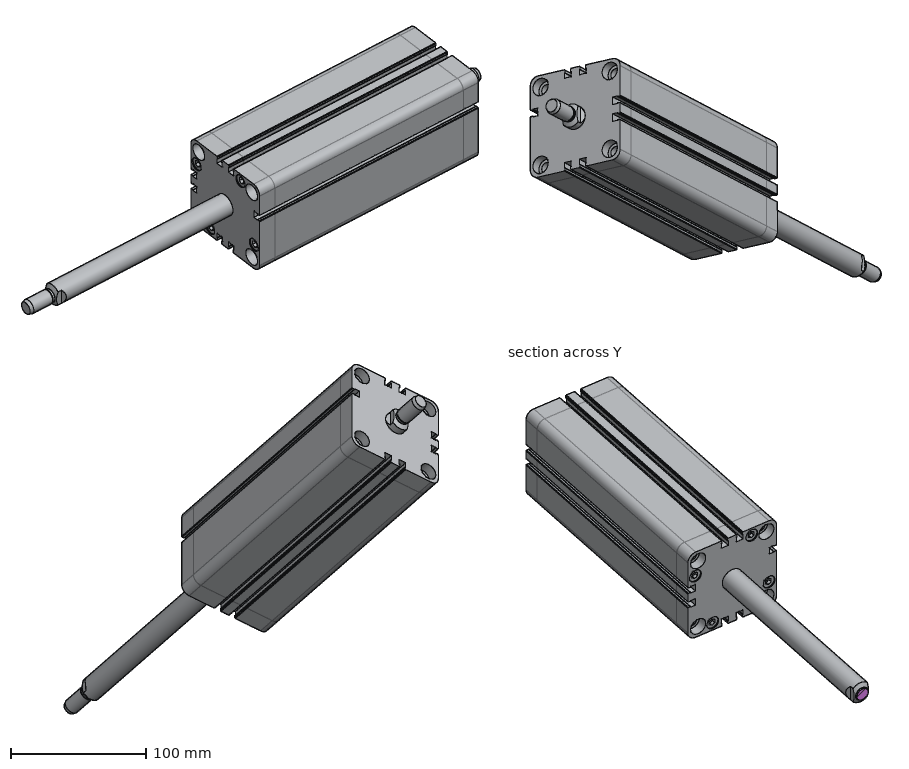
import cadquery as cq


BODY_WIDTH = 80.0
BODY_LENGTH = 210.0
CORNER_RADIUS = 7.0
CAP_LENGTH = 14.5

SLOT_PAIR_OFFSET = 6.65
SINGLE_SLOT_SHIFT = 5.0
SLOT_MOUTH_WIDTH = 5.0
SLOT_INNER_WIDTH = 6.0
SLOT_CHAMFER = 0.5
SLOT_LIP = 2.5
SLOT_DEPTH = 6.7

HOLE_OFFSET = 30.75
HOLE_DIAMETER = 8.57
COUNTERBORE_DIAMETER = 13.5
COUNTERBORE_DEPTH = 8.0

SCREW_NEAR = 17.6
SCREW_FAR = 33.2
SCREW_HEAD_DIAMETER = 10.5
SCREW_RECESS = 1.0
SOCKET_WIDTH = 5.0
SOCKET_DEPTH = 3.0
HEXAGON_SIDES = 6

ROD_DIAMETER = 18.0
ROD_TAPER_DIAMETER = 11.1
ROD_TAPER_LENGTH = 2.0
FRONT_ROD_LENGTH = 191.5
REAR_ROD_LENGTH = 31.5
THREAD_DIAMETER = 12.0
THREAD_END_DIAMETER = 10.0
THREAD_TAPER_LENGTH = 2.8
STUB_LENGTH = 23.6
UNDERCUT_DIAMETER = 10.5
UNDERCUT_LENGTH = 2.2
FLATS_WIDTH = 13.0
FLATS_LENGTH = 5.4

HALF_WIDTH = BODY_WIDTH / 2


def front_plane(y):
    """XZ sketch plane at Y = y; its normal is -Y, so negative extrusions run towards +Y."""
    return cq.Workplane("XZ", origin=(0, y, 0))


def t_slot(offset, turn):
    """Full-length slot in the +Z face at X = offset, turned about the Y axis onto another face."""
    half_mouth = SLOT_MOUTH_WIDTH / 2
    half_inner = SLOT_INNER_WIDTH / 2
    lip_bottom = HALF_WIDTH - SLOT_LIP
    floor = HALF_WIDTH - SLOT_DEPTH
    right_side = [
        (half_mouth + SLOT_CHAMFER, HALF_WIDTH),
        (half_mouth, HALF_WIDTH - SLOT_CHAMFER),
        (half_mouth, lip_bottom),
        (half_inner, lip_bottom),
        (half_inner, floor),
    ]
    left_side = [(-x, z) for x, z in reversed(right_side)]
    section = [(offset + x, z) for x, z in right_side + left_side]
    slot = front_plane(0).polyline(section).close().extrude(-BODY_LENGTH)
    return slot.rotate((0, 0, 0), (0, 1, 0), turn)


def cut_slots(solid):
    """Slot pairs in the +Z, -Z and -X faces and a single slot in the +X face."""
    for turn in (0, 180, 270):
        for offset in (-SLOT_PAIR_OFFSET, SLOT_PAIR_OFFSET):
            solid = solid.cut(t_slot(offset, turn))
    return solid.cut(t_slot(-(SLOT_PAIR_OFFSET + SINGLE_SLOT_SHIFT), 90))


def body_section(y, length):
    """Slotted square prism with rounded corners, of the given length, that starts at y."""
    square = front_plane(y).rect(BODY_WIDTH, BODY_WIDTH).extrude(-length)
    return cut_slots(square.edges("|Y").fillet(CORNER_RADIUS))


def corner_holes(diameter, y, length):
    """Cylinders at the four corners, starting at y."""
    pitch = 2 * HOLE_OFFSET
    corners = front_plane(y).rect(pitch, pitch, forConstruction=True).vertices()
    return corners.circle(diameter / 2).extrude(-length)


def cut_mounting_holes(solid):
    """Through holes counterbored from both ends."""
    solid = solid.cut(corner_holes(HOLE_DIAMETER, 0, BODY_LENGTH), clean=False)
    for y in (0, BODY_LENGTH - COUNTERBORE_DEPTH):
        counterbores = corner_holes(COUNTERBORE_DIAMETER, y, COUNTERBORE_DEPTH)
        solid = solid.cut(counterbores, clean=False)
    return solid


def cut_cap_screws(solid):
    """Sunk screw heads with hexagon sockets in the front cap."""
    centres = [
        (SCREW_NEAR, SCREW_FAR),
        (SCREW_FAR, -SCREW_NEAR),
        (-SCREW_NEAR, -SCREW_FAR),
        (-SCREW_FAR, SCREW_NEAR),
    ]
    recesses = front_plane(0).pushPoints(centres).circle(SCREW_HEAD_DIAMETER / 2).extrude(-SCREW_RECESS)
    sockets = (
        front_plane(SCREW_RECESS)
        .pushPoints(centres)
        .polygon(HEXAGON_SIDES, SOCKET_WIDTH, circumscribed=True)
        .extrude(-SOCKET_DEPTH)
    )
    return solid.cut(recesses, clean=False).cut(sockets, clean=False)


def rod_half(length):
    """Rod from the body middle out to a threaded stub, running towards -Y from the front face."""
    rod_radius = ROD_DIAMETER / 2
    thread_radius = THREAD_DIAMETER / 2
    undercut_radius = UNDERCUT_DIAMETER / 2
    root = BODY_LENGTH / 2
    shoulder = STUB_LENGTH - length
    thread_start = shoulder - UNDERCUT_LENGTH
    profile = [
        (0, root),
        (rod_radius, root),
        (rod_radius, shoulder + ROD_TAPER_LENGTH),
        (ROD_TAPER_DIAMETER / 2, shoulder),
        (undercut_radius, shoulder),
        (undercut_radius, thread_start),
        (thread_radius, thread_start),
        (thread_radius, THREAD_TAPER_LENGTH - length),
        (THREAD_END_DIAMETER / 2, -length),
        (0, -length),
    ]
    rod = cq.Workplane("XY").polyline(profile).close().revolve(360, (0, 0, 0), (0, 1, 0))

    half_flats = FLATS_WIDTH / 2
    flats_end = shoulder + FLATS_LENGTH
    runout = rod_radius - half_flats
    flat_section = [
        (half_flats, shoulder),
        (half_flats, flats_end),
        (rod_radius, flats_end + runout),
        (rod_radius, shoulder),
    ]
    flat = cq.Workplane("XY").polyline(flat_section).close().extrude(rod_radius, both=True)
    return rod.cut(flat).cut(flat.mirror("YZ"))


def build_body():
    """Barrel and caps joined with their seams kept."""
    rear_cap_start = BODY_LENGTH - CAP_LENGTH
    body = body_section(CAP_LENGTH, rear_cap_start - CAP_LENGTH)
    for y in (0, rear_cap_start):
        body = body.union(body_section(y, CAP_LENGTH), clean=False)
    return cut_cap_screws(cut_mounting_holes(body))


front_rod = rod_half(FRONT_ROD_LENGTH)
rear_rod = rod_half(REAR_ROD_LENGTH).mirror("XZ").translate((0, BODY_LENGTH, 0))
result = build_body().union(front_rod, clean=False).union(rear_rod, clean=False)